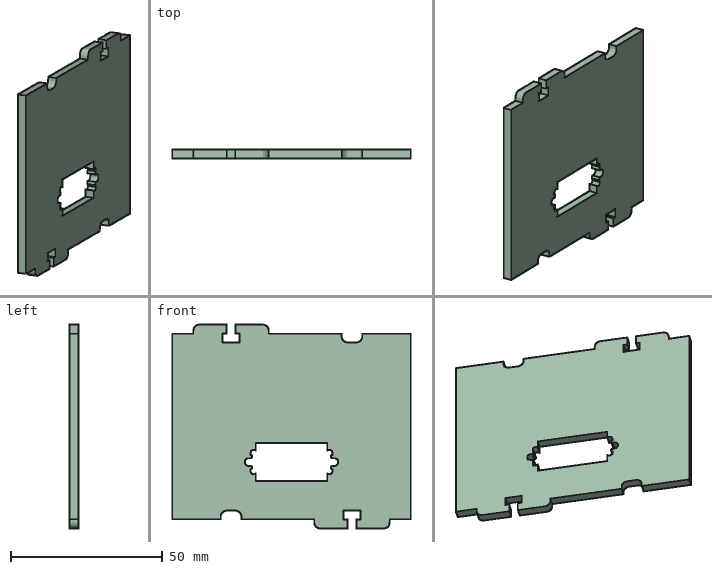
import cadquery as cq

thickness = 3.0
plate_width = 79.0
tab_height = 3.0
overall_height = 67.5
plate_height = overall_height - 2 * tab_height
half_height = plate_height / 2

joint_offset = 20.0
tab_width = 25.0
notch_width = 6.8
notch_depth = 2.9
corner_radius = 2.0

screw_slot_width = 2.9
nut_width = 5.5
nut_depth = 2.9

window_center_z = -11.75
window_width = 23.5
window_height = 12.5

end_lobe_radius = 1.25
end_lobe_tip_x = 15.4
side_lobe_radius = 1.0
side_lobe_x = 12.5
side_lobe_z = 3.0
tooth_radius = 0.55
tooth_x = 13.55
tooth_z = 1.85


def block(width, height, x, z):
    """Full-thickness block centred at (x, z)."""
    return cq.Workplane("XY").box(width, thickness, height).translate((x, 0, z))


def disc(radius, x, z):
    """Full-thickness round with its axis along Y at (x, z)."""
    return cq.Workplane("XZ").center(x, z).circle(radius).extrude(thickness / 2, both=True)


def top_tab():
    tab = block(tab_width, tab_height, -joint_offset, half_height + tab_height / 2)
    return tab.edges("|Y and >Z").fillet(corner_radius)


def top_cuts():
    """Rounded notch and T-slot of the top edge."""
    notch = block(notch_width, notch_depth, joint_offset, half_height - notch_depth / 2)
    notch = notch.edges("|Y and <Z").fillet(corner_radius)
    nut_pocket = block(nut_width, nut_depth, -joint_offset, half_height - nut_depth / 2)
    screw_slot = block(screw_slot_width, tab_height, -joint_offset, half_height + tab_height / 2)
    return notch.union(nut_pocket).union(screw_slot)


def half_turn(shape):
    return shape.rotate((0, 0, 0), (0, 1, 0), 180)


def scalloped_end(side):
    """Lobed opening at one end of the window; side is -1 for left, +1 for right."""
    wall_x = window_width / 2
    end_lobe_x = end_lobe_tip_x - end_lobe_radius
    throat_length = end_lobe_x - wall_x
    throat_x = side * (wall_x + throat_length / 2)
    inner_length = tooth_x - wall_x
    inner_x = side * (wall_x + inner_length / 2)

    opening = block(inner_length, 2 * side_lobe_z, inner_x, 0)
    for z_side in (-1, 1):
        opening = opening.cut(disc(tooth_radius, side * tooth_x, z_side * tooth_z))
        opening = opening.union(disc(side_lobe_radius, side * side_lobe_x, z_side * side_lobe_z))
    opening = opening.union(block(throat_length, 2 * end_lobe_radius, throat_x, 0))
    return opening.union(disc(end_lobe_radius, side * end_lobe_x, 0))


def window():
    opening = block(window_width, window_height, 0, 0)
    for side in (-1, 1):
        opening = opening.union(scalloped_end(side))
    return opening.translate((0, 0, window_center_z))


plate = block(plate_width, plate_height, 0, 0)
plate = plate.union(top_tab()).union(half_turn(top_tab()))
plate = plate.cut(top_cuts()).cut(half_turn(top_cuts()))
result = plate.cut(window())